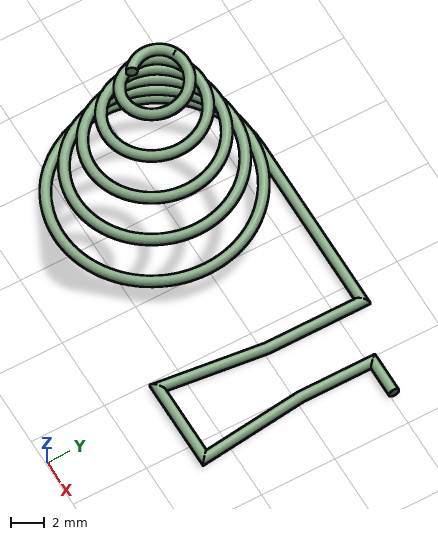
import cadquery as cq
import math

wire_diameter = 0.7
wire_radius = wire_diameter / 2
overall_length = 25.9
overall_width = 14.2
overall_height = 14.7

base_radius = 6.78
top_radius = 1.63
coil_rise = overall_height - wire_diameter
coil_turns = 4.7
lead_angle = 90
coil_start_angle = 225
coil_end_angle = coil_start_angle + 360 * coil_turns
top_arc_sweep = 120
points_per_turn = 16

near_leg_x = 12.35
far_leg_x = 16.25
leg_bend_y = 0.28
leg_spread = 0.83
clip_bottom_y = base_radius + wire_diameter - overall_width
tail_y = 5.25
tail_end_x = overall_length - base_radius - wire_radius


def polar_point(radius, angle, height):
    """Point at an angle in degrees around the coil axis."""
    turn = math.radians(angle)
    return cq.Vector(radius * math.cos(turn), radius * math.sin(turn), height)


def coil_point(fraction):
    """Centreline point at a fraction of the way up the conical coil."""
    radius = base_radius + (top_radius - base_radius) * fraction
    angle = coil_start_angle + (coil_end_angle - coil_start_angle) * fraction
    return polar_point(radius, angle, coil_rise * fraction)


def sweep_wire(path, transition):
    """Round wire swept along a centreline."""
    first_edge = path.Edges()[0]
    section_plane = cq.Plane(origin=first_edge.startPoint(), normal=first_edge.tangentAt(0))
    section = cq.Workplane(section_plane).circle(wire_radius)
    return section.sweep(path, isFrenet=True, transition=transition)


def level_arc(radius, start_angle, end_angle, height):
    """Centreline of a level part of a turn, centred on the coil axis."""
    angles = (start_angle, (start_angle + end_angle) / 2, end_angle)
    return cq.Edge.makeThreePointArc(*[polar_point(radius, angle, height) for angle in angles])


def coil():
    """Level base arc, turns that climb and narrow at a constant rate, and a level top arc."""
    steps = round(coil_turns * points_per_turn)
    base_arc = level_arc(base_radius, lead_angle, coil_start_angle, 0)
    spiral = cq.Edge.makeSpline([coil_point(step / steps) for step in range(steps + 1)])
    top_arc = level_arc(top_radius, coil_end_angle, coil_end_angle + top_arc_sweep, coil_rise)
    return sweep_wire(cq.Wire.assembleEdges([base_arc, spiral, top_arc]), "transformed")


def lead_and_clip():
    """Straight lead off the base turn, then the U-shaped clip and its tail, with mitred corners."""
    corners = [
        (0, base_radius),
        (near_leg_x, base_radius),
        (near_leg_x, leg_bend_y),
        (near_leg_x - leg_spread, clip_bottom_y),
        (far_leg_x + leg_spread, clip_bottom_y),
        (far_leg_x, leg_bend_y),
        (far_leg_x, tail_y),
        (tail_end_x, tail_y),
    ]
    return sweep_wire(cq.Wire.makePolygon([cq.Vector(x, y, 0) for x, y in corners]), "right")


result = lead_and_clip().union(coil())